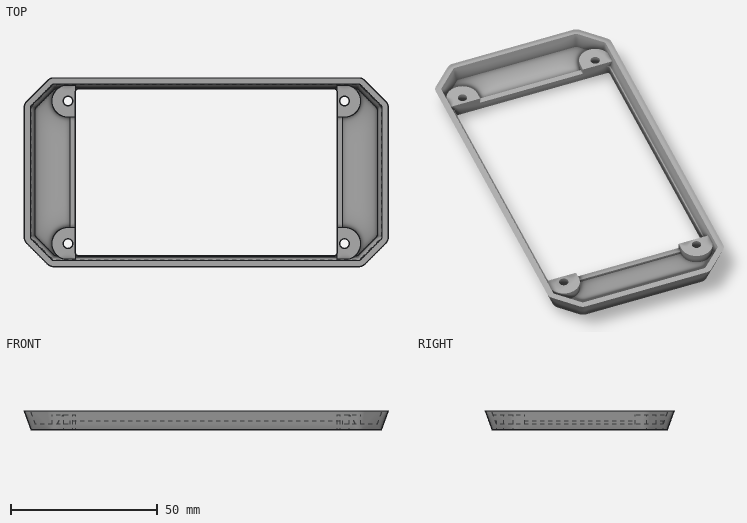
import cadquery as cq
import math

length = 124.11
width = 64.4
height = 6.5
corner_leg = 8.89
draft_angle = 20
outer_corner_radius = 3.2

wall_thickness = 2.0
rim_width = wall_thickness / math.cos(math.radians(draft_angle))
floor_thickness = 2.0
inner_corner_radius = 1.0

window_length = 89.1
window_width = 56.7
window_corner_radius = 0.8

frame_width = 1.9
frame_height = 1.0

boss_radius = 5.5
boss_height = 3.0
hole_diameter = 3.2
hole_spacing_x = 94.2
hole_spacing_y = 48.6

leg_loss = 2 - math.sqrt(2)


def tapered_octagon(inset, depth, corner_radius):
    """Octagonal frustum from the top plane down, inset from the outer rim, with rounded corners."""
    leg = corner_leg - leg_loss * inset
    half_x = length / 2 - inset
    half_y = width / 2 - inset
    outline = [
        (half_x, half_y - leg),
        (half_x - leg, half_y),
        (leg - half_x, half_y),
        (-half_x, half_y - leg),
        (-half_x, leg - half_y),
        (leg - half_x, -half_y),
        (half_x - leg, -half_y),
        (half_x, leg - half_y),
    ]
    frustum = (
        cq.Workplane("XY")
        .workplane(offset=height)
        .polyline(outline)
        .close()
        .extrude(-depth, taper=draft_angle)
    )
    return frustum.edges("not(#Z)").fillet(corner_radius)


def window_prism(depth):
    """Rounded rectangular prism of the window, standing on the base plane."""
    return (
        cq.Workplane("XY")
        .rect(window_length, window_width)
        .extrude(depth)
        .edges("|Z")
        .fillet(window_corner_radius)
    )


def window_frame():
    """Raised frame on the floor around the window."""
    base = cq.Workplane("XY").workplane(offset=floor_thickness)
    outer = base.rect(window_length + 2 * frame_width, window_width + 2 * frame_width).extrude(frame_height)
    inner = window_prism(frame_height).translate((0, 0, floor_thickness))
    return outer.cut(inner)


def boss(side_x, side_y):
    """Round boss with a straight-sided end that stops flush with the window edge."""
    center_x = side_x * hole_spacing_x / 2
    center_y = side_y * hole_spacing_y / 2
    reach = (hole_spacing_x - window_length) / 2
    base = cq.Workplane("XY").workplane(offset=floor_thickness)
    round_end = (
        base.center(center_x, center_y)
        .circle(boss_radius)
        .extrude(boss_height)
    )
    straight_end = (
        base.center(center_x - side_x * reach / 2, center_y)
        .rect(reach, 2 * boss_radius)
        .extrude(boss_height)
    )
    beyond_window = (
        base.center(side_x * (window_length + length) / 4, center_y)
        .rect((length - window_length) / 2, 2 * boss_radius)
        .extrude(boss_height)
    )
    return round_end.union(straight_end).intersect(beyond_window)


shell = tapered_octagon(0, height, outer_corner_radius)
cavity = tapered_octagon(rim_width, height - floor_thickness, inner_corner_radius)
result = shell.cut(cavity).cut(window_prism(floor_thickness))

result = result.union(window_frame().intersect(cavity))
for side_x in (-1, 1):
    for side_y in (-1, 1):
        result = result.union(boss(side_x, side_y).intersect(cavity))

holes = (
    cq.Workplane("XY")
    .rect(hole_spacing_x, hole_spacing_y, forConstruction=True)
    .vertices()
    .circle(hole_diameter / 2)
    .extrude(height)
)
result = result.cut(holes)